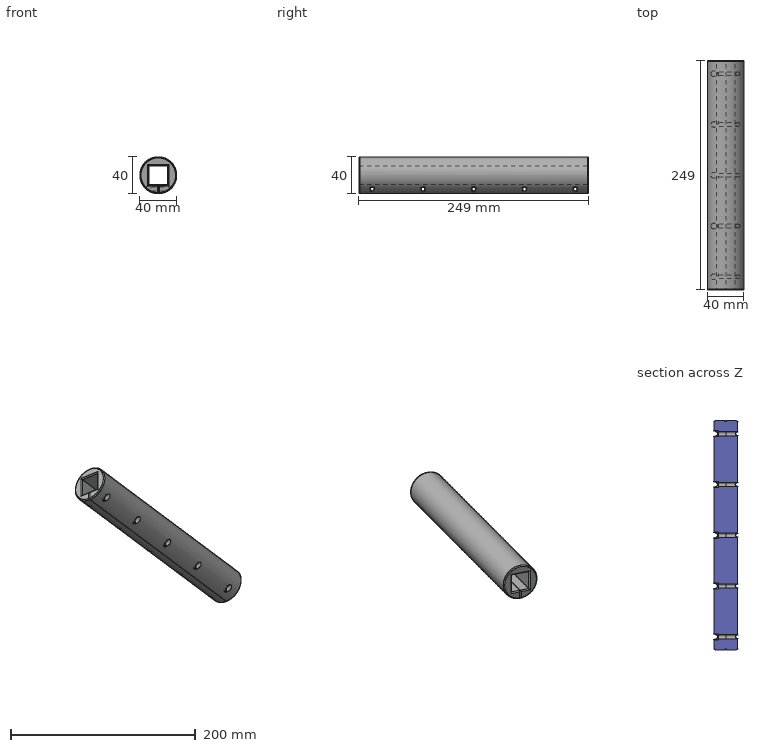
import cadquery as cq

LENGTH = 249.0
DIAMETER = 40.0
RIM_CHAMFER = 1.2
BORE_WIDTH = 20.5
BORE_CHAMFER = 1.3
SLIT_WIDTH = 0.2
SLIT_CHAMFER = 1.0

SCREW_COUNT = 5
SCREW_HOLE_DIAMETER = 4.0
SCREW_END_DISTANCE = 14.5
SCREW_AXIS_Z = -15.0
HEAD_DIAMETER = 6.0
HEAD_SEAT_DISTANCE = 8.0

RADIUS = DIAMETER / 2
SCREW_PITCH = (LENGTH - 2 * SCREW_END_DISTANCE) / (SCREW_COUNT - 1)


def round_bar():
    """Round bar along Y with chamfered ends."""
    bar = cq.Workplane("XZ", origin=(0, LENGTH / 2, 0)).circle(RADIUS).extrude(LENGTH)
    return bar.edges("%CIRCLE").chamfer(RIM_CHAMFER)


def screw_row(start_x):
    """Workplane facing +X with one point on every screw axis."""
    plane = cq.Workplane("YZ", origin=(start_x, 0, SCREW_AXIS_Z))
    return plane.rarray(SCREW_PITCH, 1, SCREW_COUNT, 1)


def screw_holes():
    """Clamping screw holes through the bar, with head recesses open to the -X side."""
    shanks = screw_row(-RADIUS).circle(SCREW_HOLE_DIAMETER / 2).extrude(DIAMETER)
    recess_depth = RADIUS - HEAD_SEAT_DISTANCE
    heads = screw_row(-RADIUS).circle(HEAD_DIAMETER / 2).extrude(recess_depth)
    return shanks.union(heads)


def bore():
    """Square bore with chamfered mouths."""
    passage = cq.Workplane("XY").box(BORE_WIDTH, LENGTH, BORE_WIDTH)
    mouth_width = BORE_WIDTH + 2 * BORE_CHAMFER
    for end in ("<Y", ">Y"):
        mouth = (
            passage.faces(end).workplane(centerOption="CenterOfBoundBox")
            .rect(mouth_width, mouth_width)
            .workplane(offset=-BORE_CHAMFER)
            .rect(BORE_WIDTH, BORE_WIDTH)
            .loft(combine=False)
        )
        passage = passage.union(mouth)
    return passage


def slit():
    """Slit on the +X side of the centre plane, opening the bore downwards, with flared mouths."""
    half_length = LENGTH / 2
    flare_start = half_length - SLIT_CHAMFER
    outline = [
        (SLIT_WIDTH, -flare_start),
        (SLIT_WIDTH, flare_start),
        (SLIT_WIDTH + SLIT_CHAMFER, half_length),
        (-SLIT_CHAMFER, half_length),
        (0, flare_start),
        (0, -flare_start),
        (-SLIT_CHAMFER, -half_length),
        (SLIT_WIDTH + SLIT_CHAMFER, -half_length),
    ]
    return cq.Workplane("XY", origin=(0, 0, -RADIUS)).polyline(outline).close().extrude(RADIUS)


result = round_bar().cut(screw_holes()).cut(bore()).cut(slit())